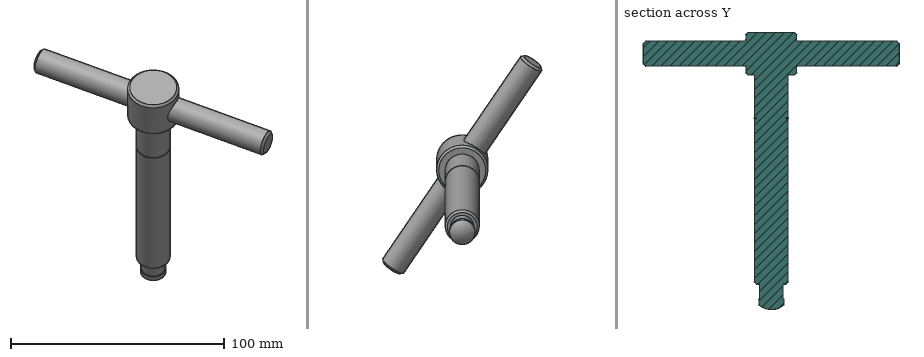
import cadquery as cq

total_height = 130.0

head_diameter = 24.0
head_height = 20.0
head_chamfer = 1.0
bar_length = 120.0
bar_diameter = 12.0
bar_chamfer = 1.2

shaft_diameter = 16.0
shaft_length = 98.0
shaft_chamfer = 1.0
groove_width = 0.4
groove_depth = 1.0
groove_below_head = 20.0

neck_diameter = 11.0
tip_diameter = bar_diameter
tip_band_height = 2.6
dome_height = 2.3

head_bottom = total_height - head_height
shaft_bottom = head_bottom - shaft_length
groove_top = head_bottom - groove_below_head
tip_top = dome_height + tip_band_height


def cylinder(diameter, bottom, top):
    """Upright cylinder on the Z axis between two heights."""
    return cq.Workplane("XY").workplane(offset=bottom).circle(diameter / 2).extrude(top - bottom)


def make_head():
    """Round head, chamfered at both ends."""
    return cylinder(head_diameter, head_bottom, total_height).edges("%CIRCLE").chamfer(head_chamfer)


def make_bar():
    """Cross bar along X through the middle of the head."""
    bar = cq.Workplane("YZ").circle(bar_diameter / 2).extrude(bar_length / 2, both=True)
    bar = bar.faces("<X or >X").chamfer(bar_chamfer)
    return bar.translate((0, 0, total_height - head_height / 2))


def make_shaft():
    """Main shaft with a chamfered lower end and a narrow groove."""
    shaft = cylinder(shaft_diameter, shaft_bottom, head_bottom).faces("<Z").chamfer(shaft_chamfer)
    groove_bottom = groove_top - groove_width
    core_diameter = shaft_diameter - 2 * groove_depth
    ring = cylinder(shaft_diameter, groove_bottom, groove_top)
    ring = ring.cut(cylinder(core_diameter, groove_bottom, groove_top))
    return shaft.cut(ring)


def make_tip():
    """Reduced neck ending in a wider band with a shallow spherical dome."""
    tip_radius = tip_diameter / 2
    neck_radius = neck_diameter / 2
    dome_radius = (tip_radius**2 + dome_height**2) / (2 * dome_height)
    middle_x = tip_radius / 2
    middle_z = dome_radius - (dome_radius**2 - middle_x**2) ** 0.5
    return (
        cq.Workplane("XZ")
        .moveTo(0, 0)
        .threePointArc((middle_x, middle_z), (tip_radius, dome_height))
        .lineTo(tip_radius, tip_top)
        .lineTo(neck_radius, tip_top)
        .lineTo(neck_radius, shaft_bottom)
        .lineTo(0, shaft_bottom)
        .close()
        .revolve(360, (0, 0), (0, 1))
    )


result = make_head().union(make_bar()).union(make_shaft()).union(make_tip())